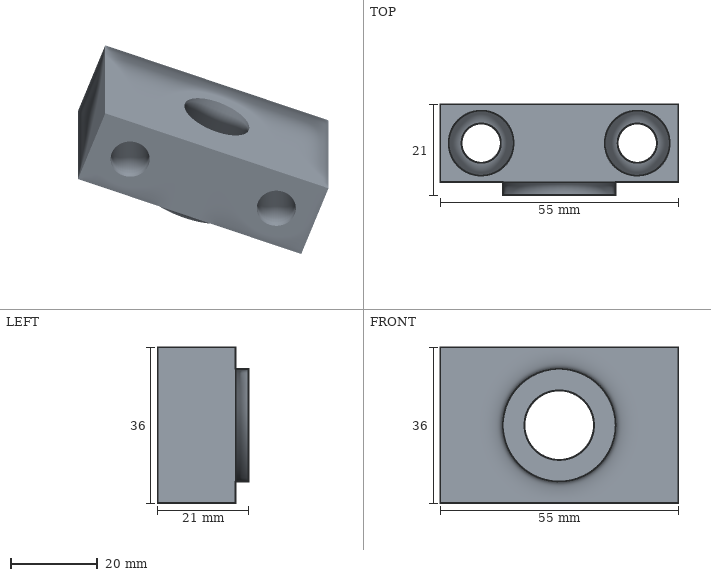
import cadquery as cq

length = 55.0
depth = 18.0
height = 36.0

boss_diameter = 26.0
boss_height = 3.0
bore_diameter = 16.0

bolt_spacing = 36.0
bolt_diameter = 9.0
counterbore_diameter = 15.0
counterbore_depth = 9.0


def make_block():
    """Block centred on the origin."""
    return cq.Workplane("XY").box(length, depth, height)


def add_bored_boss(body):
    """Raise the boss from the front face and bore through everything."""
    front_face = body.faces("<Y").workplane(centerOption="CenterOfMass")
    bossed = front_face.circle(boss_diameter / 2).extrude(boss_height)
    return bossed.faces("<Y").workplane(centerOption="CenterOfMass").hole(bore_diameter)


def cut_bolt_holes(body):
    """Cut a counterbored through hole near each end of the top face."""
    top_centre = (0, 0, height / 2)
    return (
        body.faces(">Z")
        .workplane(origin=top_centre)
        .pushPoints([(-bolt_spacing / 2, 0), (bolt_spacing / 2, 0)])
        .cboreHole(bolt_diameter, counterbore_diameter, counterbore_depth)
    )


result = cut_bolt_holes(add_bored_boss(make_block()))